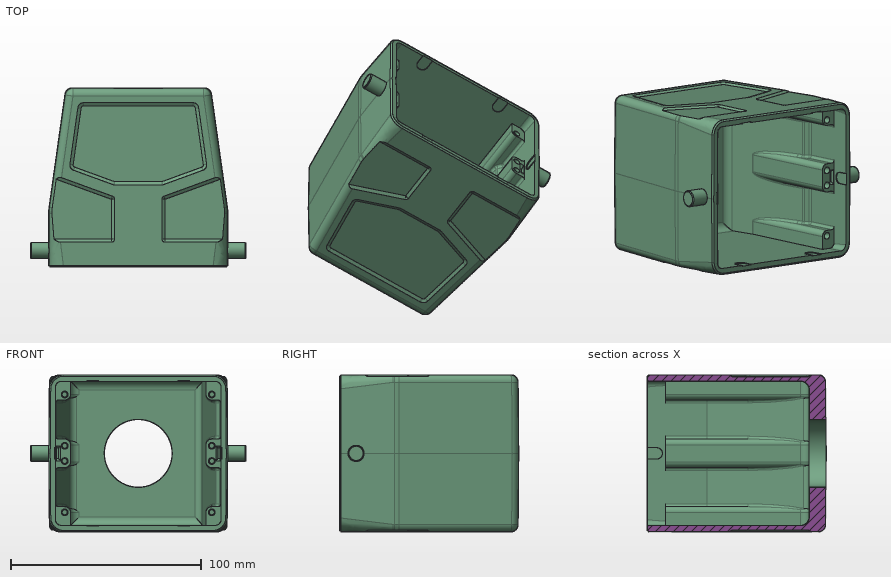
import cadquery as cq
import math


WIDTH = 94.0
DEPTH = 94.0
HEIGHT = 82.5
HALF_WIDTH = WIDTH / 2
HALF_HEIGHT = HEIGHT / 2
SHOULDER_Y = 30.0
SIDE_ANGLE = 8.0
SIDE_SLOPE = math.tan(math.radians(SIDE_ANGLE))
DRAFT = 0.5
DRAFT_SLOPE = math.tan(math.radians(DRAFT))
SHOULDER_RADIUS = 18.0
EDGE_RADIUS = 4.0
MOUTH_CORNER_RADIUS = 7.5
BLEND_START_Y = 28.0
RIM_CHAMFER = 0.8

FLOOR_Y = 85.0
MOUTH_HALF_WIDTH = 43.5
SHOULDER_HALF_WIDTH = 43.0
CAVITY_SHOULDER_Y = 31.5
THICK_STEP_LENGTH = 3.0
THICK_STEP_RADIUS = 2.0
THICK_WALL_STEP = 2.5
CAVITY_HALF_HEIGHT = 37.8
CAVITY_CORNER_RADIUS = 3.2
SIDE_FLOOR_RADIUS = 3.6
FLOOR_RADIUS = 4.5
CABLE_HOLE_DIAMETER = 35.5

POST_FRONT_Y = 9.5
POST_INNER_X = 35.5
MIDDLE_POST_HALF_HEIGHT = 7.5
CORNER_POST_INNER_Z = 28.0
POST_EDGE_RADIUS = 3.0
POST_ROOT_RADIUS = 1.5
SCREW_X = 38.6
SCREW_LEVELS = (4.0, 30.9)
SCREW_TIP_DIAMETER = 2.7
SCREW_MOUTH_DIAMETER = 3.5
SCREW_DEPTH = 12.0
NOTCH_INNER_X = 40.7
NOTCH_HEIGHT = 7.8
NOTCH_DEPTH = 2.0
NOTCH_WALL_ANGLE = 30.0

GROOVE_X = 23.8
GROOVE_WIDTH = 6.0
GROOVE_LENGTH = 8.0
GROOVE_DEPTH = 0.4

PIN_DIAMETER = 8.5
PIN_SPAN = 113.2
PIN_Y = 8.6
PIN_CHAMFER = 0.5

PANEL_DEPTH = 1.0
PANEL_WALL_ANGLE = 60.0
PANEL_RUN = PANEL_DEPTH * math.tan(math.radians(PANEL_WALL_ANGLE))
PANEL_SLANT = math.tan(math.radians(20.0))
PANEL_INNER_X = 12.4
LABEL_FRONT_Y = 43.0
LABEL_BACK_Y = 86.2
LABEL_SIDE_MARGIN = 7.8
LABEL_CORNER_RADIUS = 3.0
GRIP_FRONT_Y = 13.0
GRIP_BACK_Y = 36.7
GRIP_EDGE_RADIUS = 3.5

FRONT_OVERRUN = HALF_WIDTH
CLEARANCE = 1.0


def side_x(y):
    """Half width of the shell at depth y behind the shoulder."""
    return HALF_WIDTH - (y - SHOULDER_Y) * SIDE_SLOPE


def shell_outline():
    """Outline seen along Z, drawn longer in front than the finished shell."""
    return cq.Workplane("XY").polyline([
        (-HALF_WIDTH, -FRONT_OVERRUN),
        (HALF_WIDTH, -FRONT_OVERRUN),
        (HALF_WIDTH, SHOULDER_Y),
        (side_x(DEPTH), DEPTH),
        (-side_x(DEPTH), DEPTH),
        (-HALF_WIDTH, SHOULDER_Y),
    ]).close()


def sleeve_section(y, radius):
    """Upper half section of the front sleeve, narrowed upwards by the draft."""
    top_x = HALF_WIDTH - HALF_HEIGHT * DRAFT_SLOPE
    section = cq.Workplane("XZ", origin=(0, y, 0)).polyline([
        (HALF_WIDTH, 0),
        (top_x, HALF_HEIGHT),
        (-top_x, HALF_HEIGHT),
        (-HALF_WIDTH, 0),
    ]).close().wires().val()
    corners = [v for v in section.Vertices() if v.Z > HALF_HEIGHT / 2]
    return section.fillet2D(radius, corners)


def upright_edges(half, y):
    """The drafted edges that rise from the outline corners near depth y."""
    near = cq.selectors.BoxSelector((-WIDTH, y - 1, -HEIGHT), (WIDTH, y + 1, HEIGHT))
    return half.edges("not(#Z)").edges(near)


def make_shell():
    half = shell_outline().extrude(HALF_HEIGHT, taper=DRAFT)
    half = upright_edges(half, SHOULDER_Y).fillet(SHOULDER_RADIUS)
    half = upright_edges(half, DEPTH).fillet(EDGE_RADIUS)
    half = half.faces(">Z").edges("not(<Y)").fillet(EDGE_RADIUS)
    behind_blend = cq.Workplane("XY").box(
        2 * WIDTH, DEPTH, 2 * HEIGHT, centered=(True, False, True)
    ).translate((0, BLEND_START_Y, 0))
    sleeve = cq.Workplane(cq.Solid.makeLoft([
        sleeve_section(0, MOUTH_CORNER_RADIUS),
        sleeve_section(BLEND_START_Y, EDGE_RADIUS),
    ], True))
    half = half.intersect(behind_blend).union(sleeve)
    shell = half.union(half.mirror("XY"))
    return shell.faces("<Y").edges().chamfer(RIM_CHAMFER)


def screw_post(x_sign, z_low, z_high, sides_to_round):
    """A post on a side wall whose foot flares into the cavity floor."""
    toe_x = POST_INNER_X - FLOOR_RADIUS
    arc_bulge = FLOOR_RADIUS * math.sqrt(0.5)
    post = (
        cq.Workplane("XY", origin=(0, 0, z_low))
        .moveTo(HALF_WIDTH, POST_FRONT_Y)
        .lineTo(POST_INNER_X, POST_FRONT_Y)
        .lineTo(POST_INNER_X, FLOOR_Y - FLOOR_RADIUS)
        .threePointArc(
            (toe_x + arc_bulge, FLOOR_Y - FLOOR_RADIUS + arc_bulge),
            (toe_x, FLOOR_Y),
        )
        .lineTo(toe_x, DEPTH)
        .lineTo(HALF_WIDTH, DEPTH)
        .close()
        .extrude(z_high - z_low)
    )
    inner_edges = cq.selectors.BoxSelector(
        (0, POST_FRONT_Y + 1, -HEIGHT), (POST_INNER_X + 1, DEPTH, HEIGHT)
    )
    post = post.faces(sides_to_round).edges(inner_edges).fillet(POST_EDGE_RADIUS)
    return post if x_sign > 0 else post.mirror("YZ")


def post_root_edges(cavity):
    """Edges along the depth where a post flank meets a side wall."""
    found = []
    for edge in cavity.edges("not(|Z)").vals():
        middle = edge.Center()
        runs_along_depth = abs(edge.tangentAt(0.5).y) > 0.9
        on_wall = abs(middle.x) > POST_INNER_X + POST_EDGE_RADIUS
        off_corner = abs(middle.z) < CAVITY_HALF_HEIGHT - CAVITY_CORNER_RADIUS
        if runs_along_depth and on_wall and off_corner:
            found.append(edge)
    return cavity.newObject(found)


def make_cavity():
    """The hollow of the hood, already reduced by the screw posts."""
    lean_length = FLOOR_Y - CAVITY_SHOULDER_Y
    thick_shoulder_x = SHOULDER_HALF_WIDTH - THICK_WALL_STEP
    step_y = CAVITY_SHOULDER_Y - THICK_STEP_LENGTH
    hollow = cq.Workplane("XY").polyline([
        (-MOUTH_HALF_WIDTH, 0),
        (MOUTH_HALF_WIDTH, 0),
        (SHOULDER_HALF_WIDTH, step_y),
        (thick_shoulder_x, CAVITY_SHOULDER_Y),
        (thick_shoulder_x - lean_length * SIDE_SLOPE, FLOOR_Y),
        (-SHOULDER_HALF_WIDTH + lean_length * SIDE_SLOPE, FLOOR_Y),
        (-SHOULDER_HALF_WIDTH, CAVITY_SHOULDER_Y),
    ]).close().extrude(CAVITY_HALF_HEIGHT, both=True)
    step_region = cq.selectors.BoxSelector(
        (0, step_y - 1, -HEIGHT), (WIDTH, CAVITY_SHOULDER_Y + 1, HEIGHT)
    )
    hollow = hollow.edges("|Z").edges(step_region).fillet(THICK_STEP_RADIUS)

    cavity = hollow
    for x_sign in (-1, 1):
        middle = screw_post(x_sign, -MIDDLE_POST_HALF_HEIGHT, MIDDLE_POST_HALF_HEIGHT, "<Z or >Z")
        upper = screw_post(x_sign, CORNER_POST_INNER_Z, HALF_HEIGHT, "<Z")
        cavity = cavity.cut(middle).cut(upper).cut(upper.mirror("XY"))
    cavity = post_root_edges(cavity).fillet(POST_ROOT_RADIUS)

    mouth_prism = cq.Workplane("XY").box(
        2 * MOUTH_HALF_WIDTH, FLOOR_Y, 2 * CAVITY_HALF_HEIGHT, centered=(True, False, True)
    ).edges("|Y").fillet(CAVITY_CORNER_RADIUS)
    floor_edges = hollow.faces(">Y")
    side_rounded = floor_edges.edges("|Z").fillet(SIDE_FLOOR_RADIUS)
    top_rounded = floor_edges.edges("|X").fillet(FLOOR_RADIUS)
    return cavity.intersect(side_rounded).intersect(top_rounded).intersect(mouth_prism)


def cable_hole():
    return cq.Workplane("XZ", origin=(0, FLOOR_Y - CLEARANCE, 0)).circle(
        CABLE_HOLE_DIAMETER / 2
    ).extrude(-DEPTH)


def screw_holes():
    """Blind holes in the front faces of the posts, narrowing with depth."""
    hole = cq.Workplane(cq.Solid.makeCone(
        SCREW_MOUTH_DIAMETER / 2, SCREW_TIP_DIAMETER / 2, SCREW_DEPTH,
        pnt=cq.Vector(0, POST_FRONT_Y, 0), dir=cq.Vector(0, 1, 0),
    ))
    holes = cq.Workplane("XY")
    for x in (-SCREW_X, SCREW_X):
        for level in SCREW_LEVELS:
            for z in (-level, level):
                holes = holes.add(hole.translate((x, 0, z)))
    return holes.combine()


def mouth_groove():
    """Groove tool along +Y, its floor side facing +Z, centred on X = 0."""
    straight = GROOVE_LENGTH - GROOVE_WIDTH / 2
    return (
        cq.Workplane("XY")
        .moveTo(-GROOVE_WIDTH / 2, -CLEARANCE)
        .lineTo(-GROOVE_WIDTH / 2, straight)
        .threePointArc((0, GROOVE_LENGTH), (GROOVE_WIDTH / 2, straight))
        .lineTo(GROOVE_WIDTH / 2, -CLEARANCE)
        .close()
        .extrude(GROOVE_DEPTH + CLEARANCE)
        .translate((0, 0, -CLEARANCE))
    )


def mouth_grooves():
    tool = mouth_groove()
    upper = tool.translate((0, 0, CAVITY_HALF_HEIGHT))
    upper = upper.translate((GROOVE_X, 0, 0)).union(upper.translate((-GROOVE_X, 0, 0)))
    side = tool.rotate((0, 0, 0), (0, 1, 0), 90).translate((MOUTH_HALF_WIDTH, 0, 0))
    return upper.union(upper.mirror("XY")).union(side).union(side.mirror("YZ"))


def post_notches():
    """Tapered notches in the fronts of the middle posts, beside the walls."""
    half_width = SHOULDER_HALF_WIDTH - NOTCH_INNER_X
    funnel = (
        cq.Workplane("XZ", origin=(SHOULDER_HALF_WIDTH, POST_FRONT_Y, 0))
        .rect(2 * half_width, NOTCH_HEIGHT)
        .extrude(-NOTCH_DEPTH, taper=NOTCH_WALL_ANGLE)
    )
    inside = cq.Workplane("XY").box(2 * SHOULDER_HALF_WIDTH, DEPTH, HEIGHT)
    notch = funnel.intersect(inside)
    return notch.union(notch.mirror("YZ"))


def locking_pins():
    wall_x = (HALF_WIDTH + MOUTH_HALF_WIDTH) / 2
    pin = cq.Workplane("YZ", origin=(wall_x, PIN_Y, 0)).circle(PIN_DIAMETER / 2).extrude(
        PIN_SPAN / 2 - wall_x
    ).faces(">X").chamfer(PIN_CHAMFER)
    return pin.union(pin.mirror("YZ"))


def sunk_prism(outline):
    """Tool with the outline on its floor and walls flaring to the +Z face."""
    rise = PANEL_DEPTH + CLEARANCE
    prism = outline.extrude(rise, taper=-PANEL_WALL_ANGLE)
    return prism.translate((0, 0, HALF_HEIGHT - PANEL_DEPTH))


def label_panel():
    """The large panel between the cable end and the grips."""
    back_y = LABEL_BACK_Y - PANEL_RUN
    front_y = LABEL_FRONT_Y + PANEL_RUN
    inset = LABEL_SIDE_MARGIN + PANEL_RUN
    back_x = side_x(back_y) - inset
    slant_rise = PANEL_SLANT * (side_x(0) - inset - PANEL_INNER_X)
    knee_y = (front_y + slant_rise) / (1 + PANEL_SLANT * SIDE_SLOPE)
    knee_x = side_x(knee_y) - inset
    outline = cq.Workplane("XY").polyline([
        (-PANEL_INNER_X, front_y),
        (PANEL_INNER_X, front_y),
        (knee_x, knee_y),
        (back_x, back_y),
        (-back_x, back_y),
        (-knee_x, knee_y),
    ]).close().wires().val()
    corners = [v for v in outline.Vertices() if v.Y > front_y + 1]
    outline = outline.fillet2D(LABEL_CORNER_RADIUS - PANEL_RUN, corners)
    return sunk_prism(cq.Workplane("XY").add(outline).toPending())


def grip_panels():
    """Side panels whose floor rolls over into the side walls."""
    inner_x = PANEL_INNER_X + PANEL_RUN
    front_y = GRIP_FRONT_Y + PANEL_RUN
    slant_shift = PANEL_RUN * (math.hypot(1, PANEL_SLANT) - PANEL_SLANT)
    back_y = GRIP_BACK_Y - slant_shift
    outer_x = HALF_WIDTH + 2 * EDGE_RADIUS
    pocket = sunk_prism(cq.Workplane("XY").polyline([
        (inner_x, front_y),
        (outer_x, front_y),
        (outer_x, back_y + (outer_x - inner_x) * PANEL_SLANT),
        (inner_x, back_y),
    ]).close())
    pocket = pocket.union(pocket.translate((0, 0, -EDGE_RADIUS)))
    core = shell_outline().extrude(HALF_HEIGHT - PANEL_DEPTH)
    core = core.faces(">Z").edges().fillet(GRIP_EDGE_RADIUS)
    pocket = pocket.cut(core)
    return pocket.union(pocket.mirror("YZ"))


def make_hood():
    panels = label_panel().union(grip_panels())
    hood = make_shell().cut(panels).cut(panels.mirror("XY"))
    hood = hood.cut(make_cavity()).cut(cable_hole()).union(locking_pins())
    return hood.cut(screw_holes()).cut(mouth_grooves()).cut(post_notches())


result = make_hood()